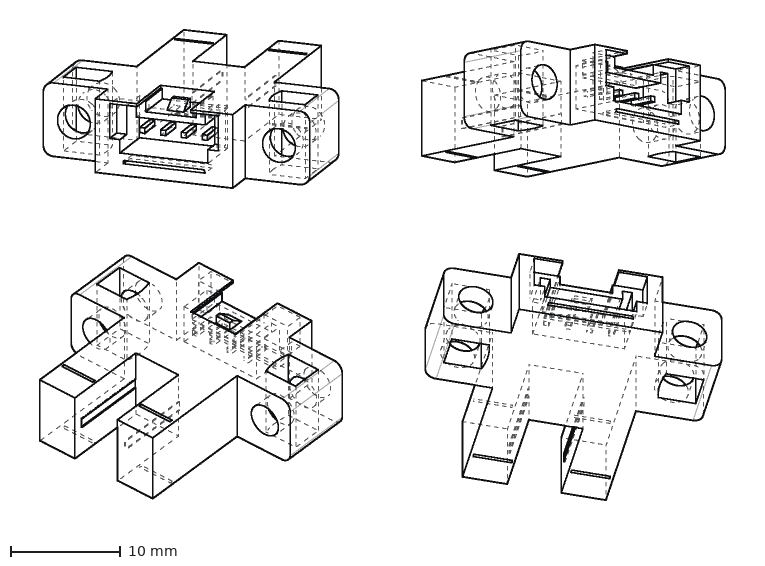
import cadquery as cq


LENGTH = 22.6
HEIGHT = 7.02
TOP = HEIGHT / 2
BODY_WIDTH = 13.42
SLOT_WIDTH = 5.05
SLOT_DEPTH = 8.65

EAR_SPAN = 26
EAR_Y = 3.2
EAR_DEPTH = 7.4
EAR_RADIUS = 1.0
HOLE_DIAMETER = 3.2
HOLE_PITCH = 20.0
WINDOW_DEPTH = 3.2
WINDOW_CENTER_Y = 6.79
WINDOW_OUTER_X = 11.78
WINDOW_INNER_X = 8.27
WINDOW_BULGE = 0.23

RIDGE_LENGTH = 3.61
RIDGE_WIDTH = 0.3
RIDGE_HEIGHT = 0.065
RIDGE_CENTER_X = 4.58
RIDGE_Y = LENGTH - 3.0
STRIP_HEIGHT = 1.0
STRIP_DEPTH = 0.1
STRIP_TIP_GAP = 1.0

MOUTH_WIDTH = 10.58
MOUTH_DEPTH = 1.77
MOUTH_TOP = 3.22
SHOULDER_Z = -0.1
SOCKET_WIDTH = 8.58
SOCKET_DEPTH = 5.0
SOCKET_BOTTOM = -1.38
SOCKET_TOP = 2.65
LINTEL_BOTTOM = 1.65
LINTEL_WIDTH = 6.75
LATCH_FLOOR = 2.24
LATCH_POCKET_WIDTH = 4.91
LATCH_POCKET_DEPTH = 6.0
ROOF_OPENING_WIDTH = 5.25
GAP_WIDTH = 7.95
GAP_BOTTOM = -2.37
GAP_HEIGHT = 0.3
GAP_CORNER_RADIUS = 0.18

WEDGE_WIDTH = 1.6
WEDGE_TOP = 3.07
WEDGE_FRONT_Y = 2.9
WEDGE_CREST_Y = 4.1
WEDGE_BACK_Y = 4.6

PIN_COUNT = 4
PIN_PITCH = 2.03
PIN_SIZE = 0.5
PIN_Z = 0.2
PIN_FRONT_Y = 2.45


def block(width, y_range, z_range, center_x=0):
    """Box centred on center_x, spanning the given Y and Z ranges."""
    y_min, y_max = y_range
    z_min, z_max = z_range
    box = cq.Workplane("XY").box(width, y_max - y_min, z_max - z_min, centered=(True, False, False))
    return box.translate((center_x, y_min, z_min))


def make_housing():
    """U-shaped body with an ear bar rounded along its outer edges."""
    full_height = (-TOP, TOP)
    body = block(BODY_WIDTH, (0, LENGTH), full_height)
    ears = block(EAR_SPAN, (EAR_Y, EAR_Y + EAR_DEPTH), full_height).edges("|Y").fillet(EAR_RADIUS)
    slot = block(SLOT_WIDTH, (LENGTH - SLOT_DEPTH, LENGTH), full_height)
    return body.union(ears).cut(slot)


def make_ear_openings(side):
    """Screw hole along Y and the vertical window crossing it, on one ear."""
    hole = (
        cq.Workplane("XZ")
        .center(side * HOLE_PITCH / 2, 0)
        .circle(HOLE_DIAMETER / 2)
        .extrude(-LENGTH)
    )
    front_y = WINDOW_CENTER_Y - WINDOW_DEPTH / 2
    back_y = WINDOW_CENTER_Y + WINDOW_DEPTH / 2
    window = (
        cq.Workplane("XY", origin=(0, 0, -TOP))
        .moveTo(side * WINDOW_OUTER_X, front_y)
        .lineTo(side * WINDOW_INNER_X, front_y)
        .threePointArc(
            (side * (WINDOW_INNER_X - WINDOW_BULGE), WINDOW_CENTER_Y),
            (side * WINDOW_INNER_X, back_y),
        )
        .lineTo(side * WINDOW_OUTER_X, back_y)
        .close()
        .extrude(HEIGHT)
    )
    return hole.union(window)


def make_ridges(side):
    """Rounded ridges marking the optical axis above and below one arm."""
    upper = (
        cq.Workplane("YZ", origin=(side * RIDGE_CENTER_X - RIDGE_LENGTH / 2, RIDGE_Y, TOP))
        .moveTo(-RIDGE_WIDTH / 2, 0)
        .threePointArc((0, RIDGE_HEIGHT), (RIDGE_WIDTH / 2, 0))
        .close()
        .extrude(RIDGE_LENGTH)
    )
    return upper.union(upper.mirror("XY"))


def make_wall_strip(side):
    """Strip recessed in one slot wall, running out at the slot root."""
    return block(
        2 * STRIP_DEPTH,
        (LENGTH - SLOT_DEPTH, LENGTH - STRIP_TIP_GAP),
        (-STRIP_HEIGHT / 2, STRIP_HEIGHT / 2),
        side * SLOT_WIDTH / 2,
    )


def make_connector_cavity():
    """Wide mouth, notched socket behind it, open latch pocket and lower gap."""
    mouth = block(MOUTH_WIDTH, (0, MOUTH_DEPTH), (SHOULDER_Z, MOUTH_TOP))
    socket = block(SOCKET_WIDTH, (0, SOCKET_DEPTH), (SOCKET_BOTTOM, SOCKET_TOP))
    lintel = block(LINTEL_WIDTH, (MOUTH_DEPTH, SOCKET_DEPTH), (LINTEL_BOTTOM, SOCKET_TOP))
    latch_pocket = block(LATCH_POCKET_WIDTH, (0, LATCH_POCKET_DEPTH), (LATCH_FLOOR, TOP))
    roof_opening = block(ROOF_OPENING_WIDTH, (0, LATCH_POCKET_DEPTH), (MOUTH_TOP, TOP))
    gap = block(GAP_WIDTH, (0, MOUTH_DEPTH), (GAP_BOTTOM, GAP_BOTTOM + GAP_HEIGHT))
    gap = gap.faces(">Z").edges("|Y").fillet(GAP_CORNER_RADIUS)
    return mouth.union(socket.cut(lintel)).union(latch_pocket).union(roof_opening).union(gap)


def make_latch_wedge():
    """Ramp rising from the pocket floor to a flat crest."""
    return (
        cq.Workplane("YZ")
        .polyline([
            (WEDGE_FRONT_Y, LATCH_FLOOR),
            (WEDGE_CREST_Y, WEDGE_TOP),
            (WEDGE_BACK_Y, WEDGE_TOP),
            (WEDGE_BACK_Y, LATCH_FLOOR),
        ])
        .close()
        .extrude(WEDGE_WIDTH / 2, both=True)
    )


result = make_housing()
for side in (-1, 1):
    result = result.cut(make_ear_openings(side)).cut(make_wall_strip(side)).union(make_ridges(side))

result = result.cut(make_connector_cavity()).union(make_latch_wedge())

for index in range(PIN_COUNT):
    pin_x = (index - (PIN_COUNT - 1) / 2) * PIN_PITCH
    pin_z_range = (PIN_Z - PIN_SIZE / 2, PIN_Z + PIN_SIZE / 2)
    result = result.union(block(PIN_SIZE, (PIN_FRONT_Y, SOCKET_DEPTH), pin_z_range, pin_x))